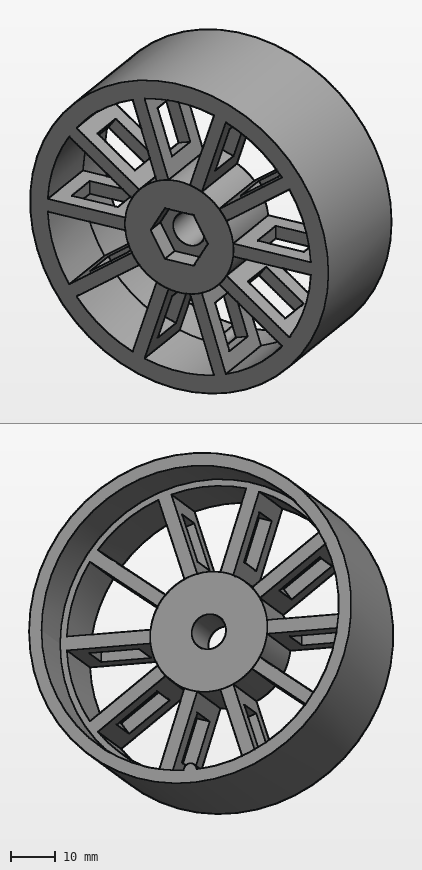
import cadquery as cq
import math


rim_radius = 38.0
rim_inner_radius = 33.5
rim_width = 29.5
front_y = -rim_width / 2

spoke_count = 10
spoke_depth = 16.4
spoke_thickness = 3.2
spoke_frame = 3.95
spoke_embed = 0.75

recess_radius = 35.0
recess_depth = rim_width - spoke_depth
recess_y = front_y + spoke_depth

rib_radius = 1.5

hub_radius = 13.8
bore_radius = 4.0
hex_across_flats = 12.6
hex_across_corners = hex_across_flats / math.cos(math.radians(30))
hex_depth = 4.55


def disc(radius, depth, start_y=front_y):
    """Round disc about the Y axis, running from start_y toward +Y."""
    return cq.Workplane("XZ", origin=(0, start_y, 0)).circle(radius).extrude(-depth)


def radial_block(inner, outer, depth, thickness):
    """Block along +X from inner to outer radius, centred on the depth of the spokes."""
    block = cq.Workplane("XY").box(outer - inner, depth, thickness)
    return block.translate(((inner + outer) / 2, front_y + spoke_depth / 2, 0))


def make_spoke(angle):
    plate = radial_block(
        hub_radius - spoke_embed, rim_inner_radius + spoke_embed, spoke_depth, spoke_thickness
    )
    window = radial_block(
        hub_radius + spoke_frame,
        rim_inner_radius - spoke_frame,
        spoke_depth - 2 * spoke_frame,
        2 * spoke_thickness,
    )
    return plate.cut(window).rotate((0, 0, 0), (0, 1, 0), angle)


def make_rim():
    rim = disc(rim_radius, rim_width).cut(disc(rim_inner_radius, rim_width))
    rim = rim.cut(disc(recess_radius, recess_depth, recess_y))
    rib = disc(rib_radius, recess_depth, recess_y).translate((0, 0, -recess_radius))
    return rim.union(rib)


def make_wheel():
    wheel = make_rim()
    for index in range(spoke_count):
        wheel = wheel.union(make_spoke(index * 360 / spoke_count))
    hub_seat = disc(hub_radius, spoke_depth)
    return wheel.cut(hub_seat)


def make_hub():
    hub = disc(hub_radius, spoke_depth).cut(disc(bore_radius, spoke_depth))
    hex_pocket = (
        cq.Workplane("XZ", origin=(0, front_y, 0)).polygon(6, hex_across_corners).extrude(-hex_depth)
    )
    return hub.cut(hex_pocket)


wheel = make_wheel()
hub = make_hub()
result = cq.Compound.makeCompound([wheel.solids().val(), hub.solids().val()])